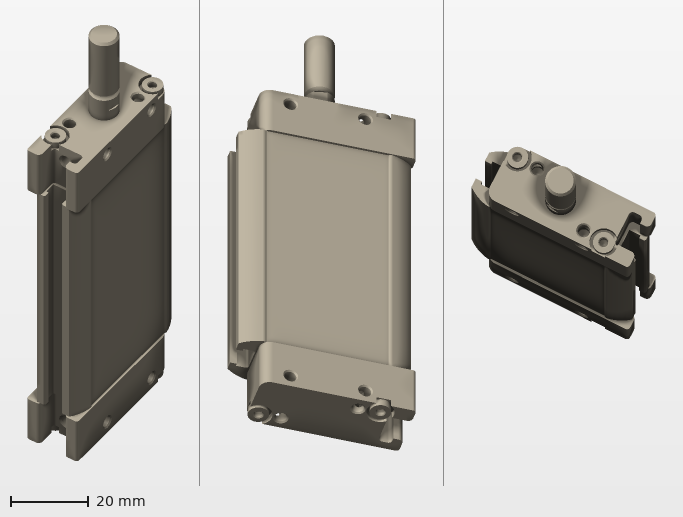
import cadquery as cq
import math

TOTAL_HEIGHT = 129.0
HOUSING_HEIGHT = 102.0
CAP_HEIGHT = 14.0
BARREL_HEIGHT = HOUSING_HEIGHT - 2 * CAP_HEIGHT

CAP_WIDTH = 16.0
CAP_BACK = 17.8
CAP_FRONT = -23.7
CAP_BACK_FILLET = 2.8
CAP_FOOT_OUTER_FILLET = 0.9
CAP_FOOT_INNER_FILLET = 1.3
CAP_SLOT_HALF_WIDTH = 3.7
CAP_SLOT_FLOOR = -17.4
CAP_SLOT_FILLET = 0.8
HOOK_DEPTH = 1.9
HOOK_LIP_TOP = -21.0
HOOK_FILLET = 1.0

CROSS_HOLE_DIAMETER = 3.2
CROSS_HOLE_MOUTH = 4.0
CROSS_HOLE_Y = 10.0
CROSS_HOLE_INSET = 3.6
PORT_DIAMETER = 3.2
PORT_MOUTH = 4.1
PORT_INSET = 5.0
PORT_DEPTH = 6.5
END_HOLE_DIAMETER = 3.2
END_HOLE_MOUTH = 4.0
END_HOLE_X = 4.5
END_HOLE_Y = 9.0
END_HOLE_DEPTH = 6.5
SCREW_X = 4.9
SCREW_Y = 15.0
SCREW_HEAD_DIAMETER = 5.5
SCREW_RECESS_DIAMETER = 7.4
SCREW_RECESS_DEPTH = 2.0
SCREW_SOCKET_DIAMETER = 2.3
SCREW_SOCKET_MOUTH = 2.8
SCREW_SOCKET_DEPTH = 1.9
DRILL_TIP_ANGLE = 118.0

BARREL_REACH = 23.2
EAR_HALF_WIDTH = 7.7
EAR_MIDDLE = (6.7, 20.5)
EAR_TIP_X = 5.0
EAR_START_Y = 16.9
EAR_START_FILLET = 1.3
SIDE_HALF_WIDTH = 7.4
SIDE_HALF_LENGTH = 16.4
BARREL_SLOT_HALF_WIDTH = 3.4
BARREL_SLOT_FLOOR = 18.2
LIP_HALF_GAP = 2.6
LIP_INNER_Y = 21.4
BACK_SLOT_FILLET = 0.6
FRONT_LIP_CHAMFER = 0.4

ROD_DIAMETER = 8.0
ROD_TIP_CHAMFER = 0.6
NECK_DIAMETER = 6.5
NECK_BOTTOM = 109.0
NECK_TOP = 110.5
FLAT_HEIGHT = 3.6
ACROSS_FLATS = 7.1
FLATS_ANGLE = -12.0


def blind_hole(mouth, hole, depth):
    """Cutter from Z = 0 down to `depth`, with a 45 degree countersink and a conical drill tip."""
    radius = hole / 2
    sink_depth = mouth / 2 - radius
    tip = radius / math.tan(math.radians(DRILL_TIP_ANGLE / 2))
    return (
        cq.Workplane("XZ")
        .polyline([
            (0, 0),
            (mouth / 2, 0),
            (radius, -sink_depth),
            (radius, -depth),
            (0, -depth - tip),
        ])
        .close()
        .revolve(360, (0, 0, 0), (0, 1, 0))
    )


def countersink(mouth, hole):
    """45 degree cone at Z = 0 that widens `hole` to `mouth`."""
    depth = (mouth - hole) / 2
    return (
        cq.Workplane("XY")
        .circle(mouth / 2)
        .workplane(offset=-depth)
        .circle(hole / 2)
        .loft(ruled=True)
    )


def diagonal_pair(x, y):
    """The two places on the diagonal of the end face."""
    return [(x, y), (-x, -y)]


def cap_blank():
    """Cap block, bottom at Z = 0, with an open slot along its front side."""
    blank = (
        cq.Workplane("XY")
        .moveTo(0, (CAP_BACK + CAP_FRONT) / 2)
        .rect(CAP_WIDTH, CAP_BACK - CAP_FRONT)
        .extrude(CAP_HEIGHT)
        .edges("|Z and >Y")
        .fillet(CAP_BACK_FILLET)
    )
    slot = (
        cq.Workplane("XY")
        .moveTo(0, CAP_FRONT)
        .rect(2 * CAP_SLOT_HALF_WIDTH, 2 * (CAP_SLOT_FLOOR - CAP_FRONT))
        .extrude(CAP_HEIGHT)
        .edges("|Z and >Y and <X")
        .fillet(CAP_SLOT_FILLET)
    )
    blank = blank.edges("|Z and <Y").fillet(CAP_FOOT_OUTER_FILLET).cut(slot)
    for side in (-1, 1):
        corner_place = (side * CAP_SLOT_HALF_WIDTH, CAP_FRONT, CAP_HEIGHT / 2)
        corner = cq.selectors.NearestToPointSelector(corner_place)
        blank = blank.edges("|Z").edges(corner).fillet(CAP_FOOT_INNER_FILLET)
    undercut = (
        cq.Workplane("XY")
        .moveTo(CAP_SLOT_HALF_WIDTH, (CAP_SLOT_FLOOR + HOOK_LIP_TOP) / 2)
        .rect(2 * HOOK_DEPTH, CAP_SLOT_FLOOR - HOOK_LIP_TOP)
        .extrude(CAP_HEIGHT)
        .edges("|Z and >X")
        .fillet(HOOK_FILLET)
    )
    return blank.cut(undercut)


def cut_cross_holes(cap):
    """Two holes through the cap along X, countersunk on both sides."""
    sink = countersink(CROSS_HOLE_MOUTH, CROSS_HOLE_DIAMETER)
    for y in (-CROSS_HOLE_Y, CROSS_HOLE_Y):
        place = (0, y, CAP_HEIGHT - CROSS_HOLE_INSET)
        hole = cq.Workplane("YZ").circle(CROSS_HOLE_DIAMETER / 2).extrude(CAP_WIDTH / 2, both=True)
        cap = cap.cut(hole.translate(place))
        for turn in (-90, 90):
            mouth = sink.translate((0, 0, CAP_WIDTH / 2)).rotate((0, 0, 0), (0, 1, 0), turn)
            cap = cap.cut(mouth.translate(place))
    return cap


def cut_port(cap):
    """Air port in the floor of the front slot."""
    cutter = blind_hole(PORT_MOUTH, PORT_DIAMETER, PORT_DEPTH).rotate((0, 0, 0), (1, 0, 0), 90)
    return cap.cut(cutter.translate((0, CAP_SLOT_FLOOR, CAP_HEIGHT - PORT_INSET)))


def cut_end_holes(cap):
    """Two blind holes in the end face."""
    cutter = blind_hole(END_HOLE_MOUTH, END_HOLE_DIAMETER, END_HOLE_DEPTH)
    for x, y in diagonal_pair(END_HOLE_X, END_HOLE_Y):
        cap = cap.cut(cutter.translate((x, y, CAP_HEIGHT)))
    return cap


def shape_screw_heads(cap):
    """Two flush screw heads, each in a ring-shaped recess and with a socket in the middle."""
    ring = (
        cq.Workplane("XY")
        .circle(SCREW_RECESS_DIAMETER / 2)
        .circle(SCREW_HEAD_DIAMETER / 2)
        .extrude(-SCREW_RECESS_DEPTH)
    )
    cutter = ring.union(blind_hole(SCREW_SOCKET_MOUTH, SCREW_SOCKET_DIAMETER, SCREW_SOCKET_DEPTH))
    for x, y in diagonal_pair(SCREW_X, SCREW_Y):
        cap = cap.cut(cutter.translate((x, y, CAP_HEIGHT)))
    return cap


def make_cap():
    """End cap with its inner face at Z = 0 and its outer face at the cap height."""
    cap = cap_blank()
    cap = cut_cross_holes(cap)
    cap = cut_port(cap)
    cap = cut_end_holes(cap)
    return shape_screw_heads(cap)


def barrel_slot(floor_fillet=0):
    """Cutter for the T-shaped slot on the back side of the barrel."""
    base = cq.Workplane("XY", origin=(0, 0, CAP_HEIGHT))
    groove = (
        base.moveTo(0, (BARREL_SLOT_FLOOR + LIP_INNER_Y) / 2)
        .rect(2 * BARREL_SLOT_HALF_WIDTH, LIP_INNER_Y - BARREL_SLOT_FLOOR)
        .extrude(BARREL_HEIGHT)
    )
    if floor_fillet > 0:
        groove = groove.edges("|Z and <Y").fillet(floor_fillet)
    mouth = (
        base.moveTo(0, (LIP_INNER_Y + BARREL_REACH) / 2)
        .rect(2 * LIP_HALF_GAP, BARREL_REACH - LIP_INNER_Y)
        .extrude(BARREL_HEIGHT)
    )
    return groove.union(mouth)


def make_barrel():
    """Extruded barrel with curved ears and a lipped slot along its front and back sides."""
    ear_x, ear_y = EAR_MIDDLE
    barrel = (
        cq.Workplane("XY", origin=(0, 0, CAP_HEIGHT))
        .moveTo(SIDE_HALF_WIDTH, -SIDE_HALF_LENGTH)
        .lineTo(SIDE_HALF_WIDTH, SIDE_HALF_LENGTH)
        .lineTo(EAR_HALF_WIDTH, EAR_START_Y)
        .threePointArc((ear_x, ear_y), (EAR_TIP_X, BARREL_REACH))
        .lineTo(-EAR_TIP_X, BARREL_REACH)
        .threePointArc((-ear_x, ear_y), (-EAR_HALF_WIDTH, EAR_START_Y))
        .lineTo(-SIDE_HALF_WIDTH, SIDE_HALF_LENGTH)
        .lineTo(-SIDE_HALF_WIDTH, -SIDE_HALF_LENGTH)
        .lineTo(-EAR_HALF_WIDTH, -EAR_START_Y)
        .threePointArc((-ear_x, -ear_y), (-EAR_TIP_X, -BARREL_REACH))
        .lineTo(EAR_TIP_X, -BARREL_REACH)
        .threePointArc((ear_x, -ear_y), (EAR_HALF_WIDTH, -EAR_START_Y))
        .close()
        .extrude(BARREL_HEIGHT)
        .edges("|Z")
        .edges("<X or >X")
        .fillet(EAR_START_FILLET)
    )
    barrel = barrel.cut(barrel_slot(BACK_SLOT_FILLET))
    barrel = barrel.cut(barrel_slot().rotate((0, 0, 0), (0, 0, 1), 180))
    lip_edges = cq.selectors.BoxSelector(
        (-LIP_HALF_GAP - FRONT_LIP_CHAMFER, -BARREL_REACH - FRONT_LIP_CHAMFER, 0),
        (LIP_HALF_GAP + FRONT_LIP_CHAMFER, -BARREL_REACH + FRONT_LIP_CHAMFER, HOUSING_HEIGHT),
    )
    return barrel.edges("|Z").edges(lip_edges).chamfer(FRONT_LIP_CHAMFER)


def make_rod():
    """Rod standing on the upper cap, with a V-shaped neck and two wrench flats below it."""
    radius = ROD_DIAMETER / 2
    rod = (
        cq.Workplane("XZ")
        .polyline([
            (0, HOUSING_HEIGHT),
            (radius, HOUSING_HEIGHT),
            (radius, NECK_BOTTOM),
            (NECK_DIAMETER / 2, (NECK_BOTTOM + NECK_TOP) / 2),
            (radius, NECK_TOP),
            (radius, TOTAL_HEIGHT - ROD_TIP_CHAMFER),
            (radius - ROD_TIP_CHAMFER, TOTAL_HEIGHT),
            (0, TOTAL_HEIGHT),
        ])
        .close()
        .revolve(360, (0, 0, 0), (0, 1, 0))
    )
    flats = (
        cq.Workplane("XY", origin=(0, 0, NECK_BOTTOM))
        .rect(2 * ROD_DIAMETER, 2 * ROD_DIAMETER)
        .rect(ACROSS_FLATS, 2 * ROD_DIAMETER)
        .extrude(-FLAT_HEIGHT)
        .rotate((0, 0, 0), (0, 0, 1), FLATS_ANGLE)
    )
    return rod.cut(flats)


barrel = make_barrel()
upper_cap = make_cap().translate((0, 0, HOUSING_HEIGHT - CAP_HEIGHT))
lower_cap = upper_cap.mirror("XY").translate((0, 0, HOUSING_HEIGHT))
rod = make_rod()

result = cq.Compound.makeCompound([barrel.val(), upper_cap.val(), lower_cap.val(), rod.val()])